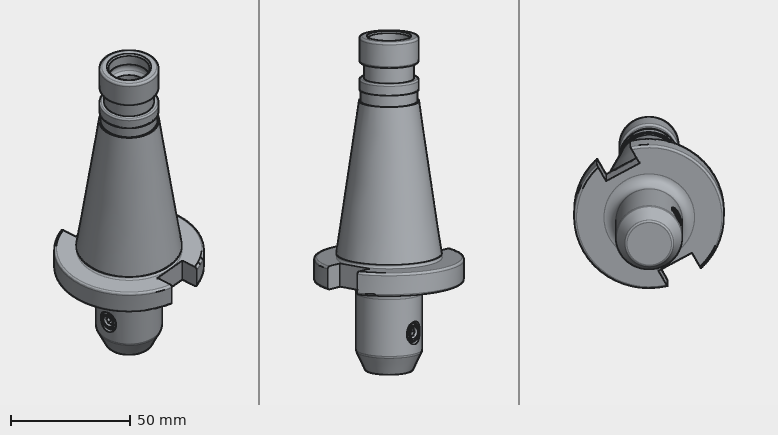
import cadquery as cq
import math

TOTAL_HEIGHT = 143.4
GAUGE_HEIGHT = 50.0

FLANGE_DIAMETER = 63.0
FLANGE_THICKNESS = 10.0
FLANGE_EDGE = 1.0
FLANGE_NECK_LENGTH = 1.6
FLANGE_NECK_GROOVE = 0.7
SLOT_WIDTH = 16.0
SLOT_FLOOR_OFFSET = 22.5

GAUGE_DIAMETER = 44.5
TAPER_RATIO = 7 / 24
TAPER_LENGTH = 65.5

NECK_DIAMETER = 24.0
NECK_LENGTH = 4.9
COLLAR_DIAMETER = 25.0
COLLAR_LENGTH = 4.9
GROOVE_DIAMETER = 21.1
HEAD_LENGTH = 11.3
HEAD_EDGE = 1.0
COLLAR_EDGE = 0.7

RECESS_DIAMETER = 17.2
RECESS_DEPTH = 8.2
RECESS_MOUTH_EDGE = 0.7
RECESS_SEAT_DEPTH = 9.6
RECESS_RELIEF_TOP = 5.2
RECESS_RELIEF_DEPTH = 0.5
DRILL_DIAMETER = 14.3
DRILL_DEPTH = 14.3
DRILL_POINT_ANGLE = 118

SHANK_DIAMETER = 28.0
SHANK_FILLET = 5.0
NOSE_HEIGHT = 8.6
NOSE_ANGLE = 25
NOSE_FILLET = 1.0
NOSE_BLEND = 2.0

SCREW_HEIGHT = 17.9
SCREW_DIAMETER = 8.0
SCREW_EDGE = 0.7
SCREW_RECESS = 0.5
COUNTERSINK_DIAMETER = 9.8
SOCKET_ACROSS_FLATS = 3.0
SOCKET_MOUTH_DIAMETER = 5.2
SOCKET_DEPTH = 2.9

flange_top = GAUGE_HEIGHT - FLANGE_NECK_LENGTH
flange_bottom = flange_top - FLANGE_THICKNESS
taper_top = GAUGE_HEIGHT + TAPER_LENGTH
collar_bottom = taper_top + NECK_LENGTH
collar_top = collar_bottom + COLLAR_LENGTH
head_bottom = TOTAL_HEIGHT - HEAD_LENGTH
shank_radius = SHANK_DIAMETER / 2


def cylinder(diameter, bottom, top):
    """Upright cylinder on the Z axis."""
    return cq.Workplane("XY").workplane(offset=bottom).circle(diameter / 2).extrude(top - bottom)


def cone(bottom_diameter, top_diameter, bottom, top):
    """Upright cone or frustum on the Z axis."""
    return cq.Workplane("XY").add(
        cq.Solid.makeCone(bottom_diameter / 2, top_diameter / 2, top - bottom, cq.Vector(0, 0, bottom))
    )


def arched_disc(diameter, height, bottom, top):
    """Disc on the Z axis with an arched rim: bulging outward, or hollow if the height is negative."""
    radius = diameter / 2
    return (
        cq.Workplane("XZ")
        .moveTo(0, bottom)
        .lineTo(radius, bottom)
        .threePointArc((radius + height, (bottom + top) / 2), (radius, top))
        .lineTo(0, top)
        .close()
        .revolve(360, (0, 0), (0, 1))
    )


def make_shank():
    """Cylindrical shank with a rounded, tapered nose and a fillet up to the flange."""
    nose_radius = shank_radius - NOSE_HEIGHT * math.tan(math.radians(NOSE_ANGLE))
    nose = cone(2 * nose_radius, SHANK_DIAMETER, 0, NOSE_HEIGHT).faces("<Z").edges().fillet(NOSE_FILLET)
    fillet_radius = shank_radius + SHANK_FILLET
    fillet_start = flange_bottom - SHANK_FILLET
    fillet_reach = SHANK_FILLET * (1 - math.sqrt(0.5))
    fillet_middle = (shank_radius + fillet_reach, flange_bottom - fillet_reach)
    shank = (
        cq.Workplane("XZ")
        .moveTo(0, NOSE_HEIGHT)
        .lineTo(shank_radius, NOSE_HEIGHT)
        .lineTo(shank_radius, fillet_start)
        .threePointArc(fillet_middle, (fillet_radius, flange_bottom))
        .lineTo(0, flange_bottom)
        .close()
        .revolve(360, (0, 0), (0, 1))
    )
    nose_corner = cq.selectors.NearestToPointSelector((0, shank_radius, NOSE_HEIGHT))
    return nose.union(shank).edges(nose_corner).fillet(NOSE_BLEND)


def make_flange():
    """Round flange with two opposed drive slots."""
    flange = cylinder(FLANGE_DIAMETER, flange_bottom, flange_top).edges().fillet(FLANGE_EDGE)
    for side in (-1, 1):
        slot = cq.Workplane("XY").box(FLANGE_DIAMETER, SLOT_WIDTH, TOTAL_HEIGHT)
        slot = slot.translate((side * (SLOT_FLOOR_OFFSET + FLANGE_DIAMETER / 2), 0, flange_bottom))
        flange = flange.cut(slot)
    return flange


def make_taper():
    """Steep taper on a short grooved neck that stands on the flange."""
    top_diameter = GAUGE_DIAMETER - TAPER_LENGTH * TAPER_RATIO
    neck = arched_disc(GAUGE_DIAMETER, -FLANGE_NECK_GROOVE, flange_top, GAUGE_HEIGHT)
    return neck.union(cone(GAUGE_DIAMETER, top_diameter, GAUGE_HEIGHT, taper_top))


def make_pull_end():
    """Neck, collar, gripping groove and head above the taper."""
    neck = cylinder(NECK_DIAMETER, taper_top, collar_bottom)
    collar = cylinder(COLLAR_DIAMETER, collar_bottom, collar_top).faces(">Z").edges().fillet(COLLAR_EDGE)
    groove = cylinder(GROOVE_DIAMETER, collar_top, head_bottom)
    head = cylinder(COLLAR_DIAMETER, head_bottom, TOTAL_HEIGHT).edges().fillet(HEAD_EDGE)
    return neck.union(collar).union(groove).union(head)


def make_top_bore():
    """Recess in the top face with a relief groove, a conical seat and a drilled hole."""
    mouth_bottom = TOTAL_HEIGHT - RECESS_MOUTH_EDGE
    mouth_diameter = RECESS_DIAMETER + 2 * RECESS_MOUTH_EDGE
    recess_bottom = TOTAL_HEIGHT - RECESS_DEPTH
    relief_top = TOTAL_HEIGHT - RECESS_RELIEF_TOP
    seat_bottom = TOTAL_HEIGHT - RECESS_SEAT_DEPTH
    drill_bottom = TOTAL_HEIGHT - DRILL_DEPTH
    drill_point = DRILL_DIAMETER / 2 / math.tan(math.radians(DRILL_POINT_ANGLE / 2))
    return (
        cone(RECESS_DIAMETER, mouth_diameter, mouth_bottom, TOTAL_HEIGHT)
        .union(cylinder(RECESS_DIAMETER, recess_bottom, mouth_bottom))
        .union(arched_disc(RECESS_DIAMETER, RECESS_RELIEF_DEPTH, recess_bottom, relief_top))
        .union(cone(DRILL_DIAMETER, RECESS_DIAMETER, seat_bottom, recess_bottom))
        .union(cylinder(DRILL_DIAMETER, drill_bottom, seat_bottom))
        .union(cone(0, DRILL_DIAMETER, drill_bottom - drill_point, drill_bottom))
    )


def make_screw_recess():
    """V-shaped ring around the chamfered screw end, and the hexagon socket of the screw."""
    screw_face = shank_radius - SCREW_RECESS
    ring_bottom = screw_face - SCREW_EDGE
    countersink_depth = (COUNTERSINK_DIAMETER - SCREW_DIAMETER) / 2
    face_diameter = SCREW_DIAMETER - 2 * SCREW_EDGE
    screw_end = cone(SCREW_DIAMETER, face_diameter, ring_bottom, screw_face)
    socket_mouth_depth = (SOCKET_MOUTH_DIAMETER - SOCKET_ACROSS_FLATS) / 2
    socket = (
        cq.Workplane("XY")
        .workplane(offset=screw_face - SOCKET_DEPTH)
        .polygon(6, SOCKET_ACROSS_FLATS / math.cos(math.pi / 6))
        .extrude(SOCKET_DEPTH)
    )
    recess = (
        cylinder(SCREW_DIAMETER, ring_bottom, shank_radius)
        .union(cone(SCREW_DIAMETER, COUNTERSINK_DIAMETER, shank_radius - countersink_depth, shank_radius))
        .cut(screw_end)
        .union(socket)
        .union(cone(SOCKET_ACROSS_FLATS, SOCKET_MOUTH_DIAMETER, screw_face - socket_mouth_depth, screw_face))
    )
    return recess.rotate((0, 0, 0), (1, 0, 0), 90).translate((0, 0, SCREW_HEIGHT))


body = make_shank().union(make_flange()).union(make_taper()).union(make_pull_end())
result = body.cut(make_top_bore()).cut(make_screw_recess())